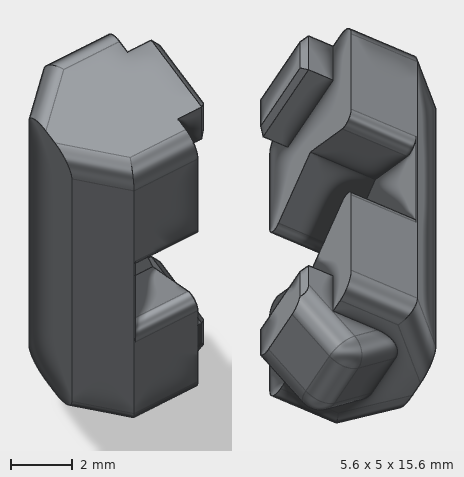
import cadquery as cq
import math

total_height = 15.59
body_width = 5.6
total_depth = 5.0

body_depth = 3.9
body_bottom = 1.59
front_chamfer = 1.47
edge_radius = 0.75
half_width = body_width / 2
body_middle = (body_bottom + total_height) / 2

nut_across_flats = 5.5
nut_corner_radius = nut_across_flats / math.sqrt(3)
pocket_floor = 1.51
pocket_mouth_radius = 0.4

tab_width = 3.12
tab_chamfer = 0.2
top_tab_height = 1.8
lower_tab_top = 3.45
tab_front = pocket_floor
nose_rise = edge_radius * (math.sqrt(2) - 1)
nose_half_depth = body_bottom + nose_rise


def make_body():
    """Prism with two front chamfers and rounded ends."""
    half_front = half_width - front_chamfer
    outline = [
        (-half_front, 0),
        (half_front, 0),
        (half_width, front_chamfer),
        (half_width, body_depth),
        (-half_width, body_depth),
        (-half_width, front_chamfer),
    ]
    body = (
        cq.Workplane("XY", origin=(0, 0, body_bottom))
        .polyline(outline)
        .close()
        .extrude(total_height - body_bottom)
    )
    end_edges = body.faces("<Z or >Z").edges("not |X")
    return end_edges.fillet(edge_radius)


def cut_nut_pocket(body):
    """Cut the sloped nut-pocket flanks through both sides and round the mouth edges."""
    half_mouth = nut_corner_radius - half_width * math.tan(math.radians(30))
    pocket_outline = [
        (-half_width, body_middle - half_mouth),
        (0, body_middle - nut_corner_radius),
        (half_width, body_middle - half_mouth),
        (half_width, body_middle + half_mouth),
        (0, body_middle + nut_corner_radius),
        (-half_width, body_middle + half_mouth),
    ]
    pocket = (
        cq.Workplane("XZ", origin=(0, body_depth, 0))
        .polyline(pocket_outline)
        .close()
        .extrude(body_depth - pocket_floor)
    )
    mouth_zone = cq.selectors.BoxSelector(
        (-body_width, pocket_floor, body_middle - nut_corner_radius),
        (body_width, body_depth, body_middle + nut_corner_radius),
    )
    mouth_edges = body.cut(pocket).edges(mouth_zone).edges("|Y").edges("<X or >X")
    return mouth_edges.fillet(pocket_mouth_radius)


def make_tab(front, bottom, height):
    """Plain block reaching back from inside the body."""
    depth = total_depth - front
    block = cq.Workplane("XY").box(tab_width, depth, height, centered=(True, False, False))
    return block.translate((0, front, bottom))


def make_top_tab():
    tab = make_tab(tab_front, total_height - top_tab_height, top_tab_height)
    return tab.faces(">Y").edges().chamfer(tab_chamfer)


def make_lower_tab():
    """Tab with a rounded 45-degree nose below the body."""
    nose_y = total_depth - nose_half_depth
    nose_front = nose_y - nose_half_depth
    profile = [
        (nose_front, lower_tab_top),
        (nose_front, body_bottom),
        (nose_y, -nose_rise),
        (total_depth, body_bottom),
        (total_depth, lower_tab_top),
    ]
    tab = cq.Workplane("YZ").polyline(profile).close().extrude(tab_width / 2, both=True)
    nose_zone = cq.selectors.BoxSelector(
        (-tab_width, nose_front, -edge_radius),
        (tab_width, total_depth, body_bottom - tab_chamfer),
    )
    tab = tab.edges(nose_zone).fillet(edge_radius)

    envelope = make_tab(nose_front, -edge_radius, lower_tab_top + edge_radius)
    envelope = envelope.faces(">Y").edges("|Z or >Z").chamfer(tab_chamfer)
    return tab.intersect(envelope)


body = cut_nut_pocket(make_body())
result = body.union(make_top_tab()).union(make_lower_tab())